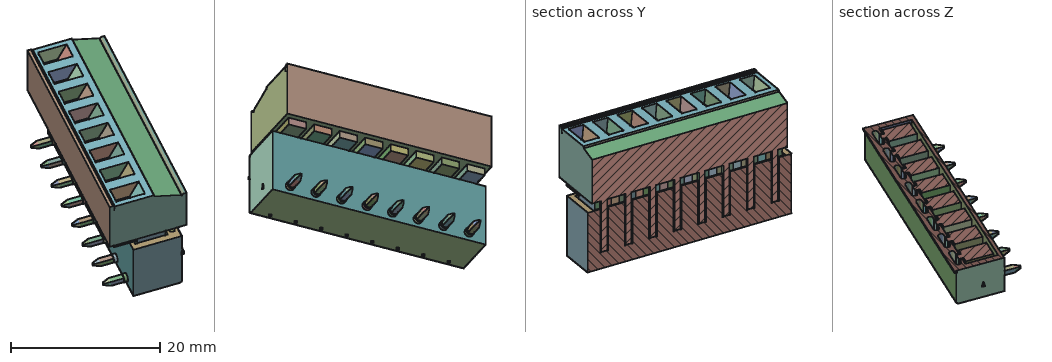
import cadquery as cq
import math

positions = 8
plug_width = 30.47
pitch = plug_width / positions
contact_xs = [(i - (positions - 1) / 2) * pitch for i in range(positions)]

header_width = 31.8
header_back = 4.75
header_front = -2.25
header_top = 0.15
header_bottom = -9.05
header_top_chamfer = 0.1
header_bottom_chamfer = 0.25
floor_z = -6.53

cavity_width = 29.93
cavity_back = 3.03
cavity_front = -1.65
keyway_width = 2.85
keyway_front = 3.47
keyway_back = 4.25
keyway_round = 0.35
keyway_neck_width = 1.2

rib_width = 31.87
rib_back = 5.05
rib_top = -3.1
rib_bottom = -3.5
rib_chamfer = 0.13

pin_z = -7.9
pin_width = 0.8
pin_tip_width = 0.25
pin_taper_start = -4.65
pin_tip = -5.65
collar_radius = 0.6
collar_end = -2.77

nub_radius = 0.2
nub_y = 3.73
nub_bottom = -9.18

mark_y = 0.75
mark_base_z = -7.25
mark_top_z = -6.47
mark_width = 0.48
mark_depth = 0.13

plug_back = 5.65
plug_front = -5.42
plug_top = 9.2
plug_bottom = 1.3
deck_z = 9.05
deck_back = 0.92
ramp_top_y = 1.05
ramp_top_z = 8.8
ramp_bottom_y = 4.88
ramp_bottom_z = 7.55
back_rim_z = 7.7
back_rim_radius = 0.35
back_groove_y = 4.97
front_groove_back = -4.65
front_groove_y = -4.75
front_groove_z = 8.35
front_rim_z = 9.08
front_rim_y = -4.95

opening_width = 2.33
opening_back = -0.05
opening_front = -4.17
opening_floor_width = 1.63
opening_floor_back = -1.5
opening_floor_front = -3.92
opening_depth = 2.05

tongue_width = 2.58
tongue_back = 2.85
tongue_front = -1.25
lip_front = -4.55
lip_bottom = 0.25
key_width = 0.95
key_back = 3.5


def box(x, width, y_front, y_back, z_bottom, z_top):
    """Box centred on x, between the given Y and Z limits."""
    return (
        cq.Workplane("XY", origin=(x, (y_front + y_back) / 2, z_bottom))
        .rect(width, y_back - y_front)
        .extrude(z_top - z_bottom)
    )


def opening(x):
    """Tapered wire opening cut down from the deck."""
    floor_shift = (opening_floor_back + opening_floor_front - opening_back - opening_front) / 2
    return (
        cq.Workplane("XY", origin=(x, (opening_back + opening_front) / 2, deck_z))
        .rect(opening_width, opening_back - opening_front)
        .workplane(offset=-opening_depth)
        .center(0, floor_shift)
        .rect(opening_floor_width, opening_floor_back - opening_floor_front)
        .loft(ruled=True)
    )


def tongue(x):
    """Tongue reaching the cavity floor, with a lip in front and a key behind."""
    blade = box(x, tongue_width, tongue_front, tongue_back, floor_z, plug_bottom)
    lip = box(x, tongue_width, lip_front, tongue_front, lip_bottom, plug_bottom)
    key = box(x, key_width, tongue_back, key_back, floor_z, plug_bottom)
    return blade.union(lip).union(key)


def make_plug():
    rim_start_y = back_groove_y + back_rim_radius
    back_groove_z = back_rim_z - back_rim_radius
    rim_mid_offset = back_rim_radius * math.sqrt(0.5)
    rim_mid = (rim_start_y - rim_mid_offset, back_groove_z + rim_mid_offset)
    body = (
        cq.Workplane("YZ")
        .moveTo(plug_front, plug_bottom)
        .lineTo(plug_back, plug_bottom)
        .lineTo(plug_back, back_rim_z)
        .lineTo(rim_start_y, back_rim_z)
        .threePointArc(rim_mid, (back_groove_y, back_groove_z))
        .lineTo(ramp_bottom_y, ramp_bottom_z)
        .lineTo(ramp_top_y, ramp_top_z)
        .lineTo(deck_back, deck_z)
        .lineTo(front_groove_back, deck_z)
        .lineTo(front_groove_y, front_groove_z)
        .lineTo(front_groove_y, front_rim_z)
        .lineTo(front_rim_y, plug_top)
        .lineTo(plug_front, plug_top)
        .close()
        .extrude(plug_width / 2, both=True)
    )
    for x in contact_xs:
        body = body.cut(opening(x)).union(tongue(x))
    return body


def keyway(x):
    """Round-cornered slot in the back wall, open to the trough through a neck."""
    slot = (
        box(x, keyway_width, keyway_front, keyway_back, floor_z, header_top)
        .edges("|Z")
        .fillet(keyway_round)
    )
    neck = box(x, keyway_neck_width, cavity_back, (keyway_front + keyway_back) / 2, floor_z, header_top)
    return slot.union(neck)


def solder_pin(x):
    """Round collar and square pin with a tapered tip, pointing forward."""
    collar = (
        cq.Workplane("XZ", origin=(x, header_front, pin_z))
        .circle(collar_radius)
        .extrude(header_front - collar_end)
    )
    shank = (
        cq.Workplane("XZ", origin=(x, collar_end, pin_z))
        .rect(pin_width, pin_width)
        .extrude(collar_end - pin_taper_start)
    )
    tip = (
        cq.Workplane("XZ", origin=(x, pin_taper_start, pin_z))
        .rect(pin_width, pin_width)
        .workplane(offset=pin_taper_start - pin_tip)
        .rect(pin_tip_width, pin_tip_width)
        .loft(ruled=True)
    )
    return collar.union(shank).union(tip)


def nub(x):
    """Small round standoff under the header."""
    return (
        cq.Workplane("XY", origin=(x, nub_y, nub_bottom))
        .circle(nub_radius)
        .extrude(header_bottom - nub_bottom)
    )


def position_mark():
    """Triangle sunk into the left end of the header."""
    return (
        cq.Workplane("YZ", origin=(-header_width / 2, 0, 0))
        .moveTo(mark_y - mark_width / 2, mark_base_z)
        .lineTo(mark_y + mark_width / 2, mark_base_z)
        .lineTo(mark_y, mark_top_z)
        .close()
        .extrude(mark_depth)
    )


def make_header():
    body = box(0, header_width, header_front, header_back, header_bottom, header_top)
    body = body.edges(">Y and >Z").chamfer(header_top_chamfer)
    body = body.edges(">Y and <Z").chamfer(header_bottom_chamfer)
    rib = box(0, rib_width, header_back - rib_chamfer, rib_back, rib_bottom, rib_top)
    rib = rib.edges(">Y and <Z").chamfer(rib_chamfer)
    body = body.union(rib)
    body = body.cut(box(0, cavity_width, cavity_front, cavity_back, floor_z, header_top))
    for x in contact_xs:
        body = body.cut(keyway(x)).union(solder_pin(x)).union(nub(x))
    return body.cut(position_mark())


plug = make_plug()
header = make_header()
result = cq.Compound.makeCompound([plug.val(), header.val()])